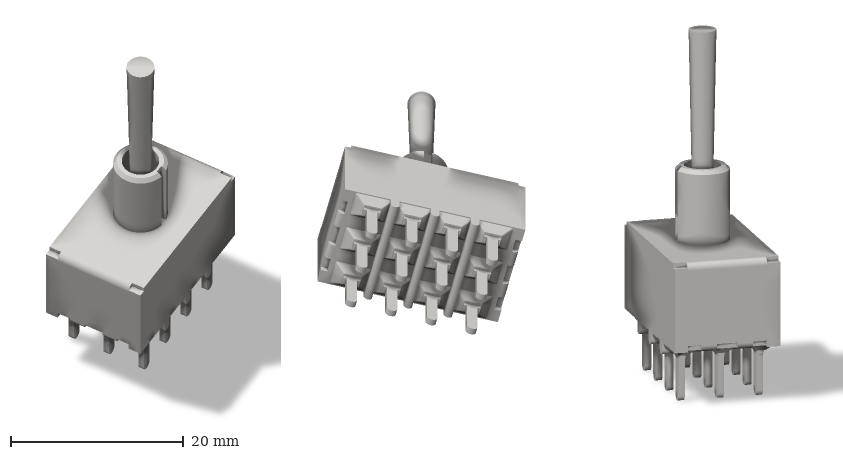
import cadquery as cq


body_width = 12.7
body_length = 21.59
body_height = 10.6
overall_height = 42.29
lever_tip_z = 35.7
terminal_bottom_z = lever_tip_z - overall_height

end_tab_half_width = 4.78
top_edge_radius = 0.8
corner_step_height = 0.55
recess_depth = 0.8
recess_height = 0.77
clip_width = 1.85
clip_offset = 2.17
clip_radius = 0.63

bushing_radius = 6.35 / 2
bushing_height = 8.9
bushing_chamfer = 0.45
bore_radius = 4.35 / 2
keyway_width = 1.0
keyway_floor_x = 2.5
bushing_top_z = body_height + bushing_height

column_pitch = 4.7
row_pitch = 4.8
column_places = [-column_pitch, 0, column_pitch]
row_places = [row_pitch * step for step in (-1.5, -0.5, 0.5, 1.5)]
rib_places = [-row_pitch, 0, row_pitch]
terminal_thickness = 0.76
terminal_width = 1.25
shoulder_width = 2.0
shoulder_bottom_z = -1.4
mound_base = (3.0, 4.4)
mound_tip = (1.5, 2.1)
mound_edge_radius = 0.2
mound_height = 1.0
rib_width = 1.0
rib_depth = 1.55

lever_tip_radius = 1.62
lever_neck_radius = 1.28
ball_radius = bore_radius
ball_center_z = body_height


def box(x_range, y_range, z_range):
    """Box between the given limits on each axis."""
    size = [high - low for low, high in (x_range, y_range, z_range)]
    corner = (x_range[0], y_range[0], z_range[0])
    return cq.Workplane("XY").box(*size, centered=False).translate(corner)


def centered_range(middle, width):
    return (middle - width / 2, middle + width / 2)


def make_end_cuts():
    """Material removed at the -Y end: top corner steps, rounded top edge and bottom recess."""
    end_y = -body_length / 2
    tab_x = (-end_tab_half_width, end_tab_half_width)
    top_y = (end_y, end_y + top_edge_radius)
    step_z = (body_height - corner_step_height, body_height)
    cuts = box((-body_width / 2, -end_tab_half_width), top_y, step_z)
    cuts = cuts.union(box((end_tab_half_width, body_width / 2), top_y, step_z))

    edge_block = box(tab_x, (end_y, 0), (0, body_height))
    rounded_block = edge_block.edges("<Y and >Z").fillet(top_edge_radius)
    cuts = cuts.union(edge_block.cut(rounded_block))

    recess_y = (end_y, end_y + recess_depth)
    recess = box(tab_x, recess_y, (0, recess_height))
    for side in (-1, 1):
        clip = box(centered_range(side * clip_offset, clip_width), recess_y, (0, recess_height))
        recess = recess.cut(clip.edges("<Y and <Z").fillet(clip_radius))
    return cuts.union(recess)


def make_case():
    case = cq.Workplane("XY").box(body_width, body_length, body_height, centered=(True, True, False))
    end_cuts = make_end_cuts()
    return case.cut(end_cuts).cut(end_cuts.mirror("XZ"))


def make_bushing():
    bushing = cq.Workplane("XY").workplane(offset=body_height).circle(bushing_radius).extrude(bushing_height)
    bushing = bushing.faces(">Z").chamfer(bushing_chamfer)
    keyway = box(
        (keyway_floor_x, bushing_radius),
        centered_range(0, keyway_width),
        (body_height, bushing_top_z),
    )
    return bushing.cut(keyway)


def make_lever_seat():
    """Bushing bore ending in a hemispherical socket for the lever ball."""
    bore = cq.Workplane("XY").workplane(offset=ball_center_z).circle(bore_radius)
    bore = bore.extrude(bushing_top_z - ball_center_z)
    return bore.union(cq.Workplane("XY").sphere(ball_radius).translate((0, 0, ball_center_z)))


def make_rib(y):
    """Full-width rib with a rounded lower edge."""
    radius = rib_width / 2
    rib = box((-body_width / 2, body_width / 2), centered_range(y, rib_width), (radius - rib_depth, 0))
    rounded_edge = cq.Workplane("YZ").center(y, radius - rib_depth).circle(radius)
    return rib.union(rounded_edge.extrude(body_width / 2, both=True))


def make_terminal():
    """Tapered sealing mound, terminal shoulder and round-ended blade."""
    mound = cq.Workplane("XY").rect(*mound_base).workplane(offset=-mound_height).rect(*mound_tip)
    mound = mound.loft(ruled=True).edges("not (<Z or >Z)").fillet(mound_edge_radius)

    thickness_range = centered_range(0, terminal_thickness)
    shoulder = box(thickness_range, centered_range(0, shoulder_width), (shoulder_bottom_z, 0))

    round_center_z = terminal_bottom_z + terminal_width / 2
    blade = box(thickness_range, centered_range(0, terminal_width), (round_center_z, 0))
    blade_end = cq.Workplane("YZ").center(0, round_center_z).circle(terminal_width / 2)
    blade_end = blade_end.extrude(terminal_thickness / 2, both=True)
    return mound.union(shoulder).union(blade).union(blade_end)


def make_housing():
    housing = make_case().union(make_bushing()).cut(make_lever_seat())
    for y in rib_places:
        housing = housing.union(make_rib(y))
    terminal = make_terminal()
    for x in column_places:
        for y in row_places:
            housing = housing.union(terminal.translate((x, y, 0)))
    return housing


def make_lever():
    """Handle widening toward its tip, on a pivot ball."""
    taper = (lever_tip_radius - lever_neck_radius) / (lever_tip_z - bushing_top_z)
    root_radius = lever_neck_radius - taper * (bushing_top_z - ball_center_z)
    handle = (
        cq.Workplane("XZ")
        .moveTo(0, ball_center_z)
        .lineTo(root_radius, ball_center_z)
        .lineTo(lever_tip_radius, lever_tip_z)
        .lineTo(0, lever_tip_z)
        .close()
        .revolve(360, (0, 0, 0), (0, 1, 0))
    )
    return handle.union(cq.Workplane("XY").sphere(ball_radius).translate((0, 0, ball_center_z)))


housing = make_housing()
lever = make_lever()

result = cq.Compound.makeCompound([housing.val(), lever.val()])